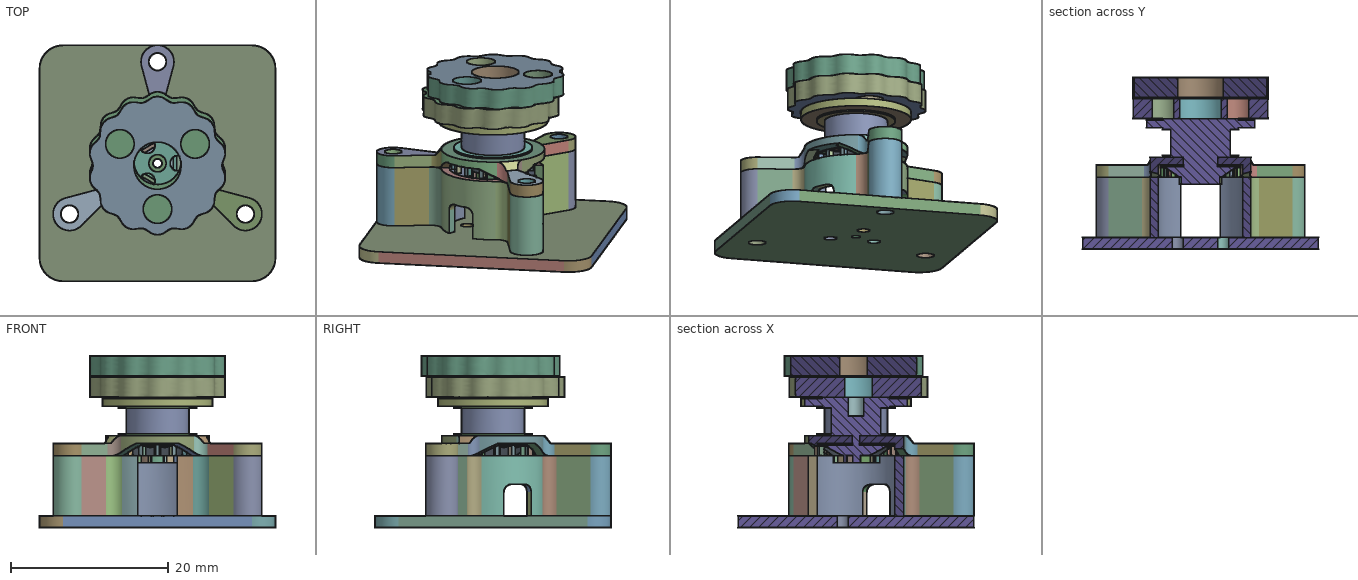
import cadquery as cq
import math

BASE_SIDE = 30.0
BASE_THICKNESS = 1.5
BASE_CORNER_RADIUS = 3.0
WIRE_HOLE_DIAMETER = 1.6
WIRE_HOLE_RADIUS = 3.33

LEG_ANGLES = (90, 210, 330)
WINDOW_ANGLES = (30, 150)
SLOT_ANGLE = 270
LEG_RADIUS = 12.9
LEG_END_RADIUS = BASE_SIDE / 2 - LEG_RADIUS
LEG_TAPER = math.radians(15)
LEG_HOLE_DIAMETER = 2.2
MOUNT_ROOT_FILLET = 1.5
CAP_ROOT_FILLET = 1.2

WALL_DIAMETER = 13.1
MOUNT_BORE = 11.0
MOUNT_TOP = 9.15
SLOT_WIDTH = 5.0
ARCH_WIDTH = 4.0
ARCH_TOP = 5.5
ARCH_CORNER = 1.0

CAP_ARM_THICKNESS = 1.55
CAP_ROOF_THICKNESS = 1.0
CAP_CAVITY = MOUNT_BORE
CONE_FOOT_RADIUS = 7.35
RIB_HALF_WIDTH_LOW = 0.9
RIB_HALF_WIDTH_HIGH = 3.85
RIB_CUT_RADIUS = 7.8

POST_DIAMETER = 5.0
POST_BOTTOM = 8.22
SPLINE_COUNT = 9
SPLINE_DIAMETER = 6.0
SPLINE_WIDTH = 0.33
ROTOR_DIAMETER = 10.5
ROTOR_TOP = 10.5
ROTOR_RIM = 0.15
CAGE_BORE = 9.3
NOTCH_COUNT = 15
NOTCH_DIAMETER = 1.68
SHOULDER_DIAMETER = 10.0
SHOULDER_HEIGHT = 0.2
TUBE_DIAMETER = 8.0
FLANGE_DIAMETER = 14.0
FLANGE_BOTTOM = 15.4
FLANGE_THICKNESS = 1.0
SHAFT_BORE = 1.1
SHAFT_COUNTERBORE = 2.2
SHAFT_COUNTERBORE_DEPTH = 1.0
VENT_DIAMETER = 1.9
VENT_RADIUS = 2.55
VENT_DEPTH = 2.4
VENT_ANGLES = (0, 120, 240)
VENT_SLOT_WIDTH = 0.48
VENT_SLOT_RADIUS = 2.22
VENT_SLOT_DEPTH = 0.3

DISC_THICKNESS = 2.55
DISC_GAP = 0.12
LOBE_COUNT = 14
ECCENTRICITY = 0.3
PIN_CIRCLE_RADIUS = 9.3
PIN_RADIUS = 0.8
POINTS_PER_LOBE = 12
DISC_BORE = 6.0
DISC_HOLE_DIAMETER = 3.63
DISC_HOLE_RADIUS = 5.52
DISC_HOLE_ANGLES = (30, 150, 270)

WALL_RADIUS = WALL_DIAMETER / 2
CAP_ARM_TOP = MOUNT_TOP + CAP_ARM_THICKNESS
CAP_TOP = CAP_ARM_TOP + CAP_ROOF_THICKNESS
FLANGE_TOP = FLANGE_BOTTOM + FLANGE_THICKNESS
SPINDLE_TOP = FLANGE_TOP + SHOULDER_HEIGHT


def cylinder(diameter, bottom, top):
    return cq.Workplane("XY").workplane(offset=bottom).circle(diameter / 2).extrude(top - bottom)


def polar_points(radius, angles):
    return [
        (radius * math.cos(math.radians(a)), radius * math.sin(math.radians(a)))
        for a in angles
    ]


def drill(body, diameter, points, bottom, top):
    tools = cq.Workplane("XY").workplane(offset=bottom).pushPoints(points).circle(diameter / 2)
    return body.cut(tools.extrude(top - bottom))


def turned(body, angle):
    return body.rotate((0, 0, 0), (0, 0, 1), angle)


def leg(bottom, top, fillet):
    """A tapered leg along +X, flared by fillets into the round wall."""
    normal = (-math.sin(LEG_TAPER), math.cos(LEG_TAPER))
    side_offset = LEG_END_RADIUS + LEG_RADIUS * normal[0]
    reach = WALL_RADIUS + fillet
    across = side_offset + fillet
    along = math.sqrt(reach**2 - across**2)
    centre = (
        across * normal[0] + along * math.cos(LEG_TAPER),
        across * normal[1] + along * math.sin(LEG_TAPER),
    )
    centre_angle = math.atan2(centre[1], centre[0])
    on_wall = (WALL_RADIUS * math.cos(centre_angle), WALL_RADIUS * math.sin(centre_angle))
    on_side = (centre[0] - fillet * normal[0], centre[1] - fillet * normal[1])
    side_angle = LEG_TAPER - math.pi / 2
    wall_angle = centre_angle - math.pi
    middle_angle = (side_angle + wall_angle) / 2
    on_fillet = (
        centre[0] + fillet * math.cos(middle_angle),
        centre[1] + fillet * math.sin(middle_angle),
    )
    on_end = (LEG_RADIUS + LEG_END_RADIUS * normal[0], LEG_END_RADIUS * normal[1])

    def mirrored(point):
        return (point[0], -point[1])

    outline = (
        cq.Workplane("XY")
        .workplane(offset=bottom)
        .moveTo(*on_wall)
        .threePointArc(on_fillet, on_side)
        .lineTo(*on_end)
        .threePointArc((LEG_RADIUS + LEG_END_RADIUS, 0), mirrored(on_end))
        .lineTo(*mirrored(on_side))
        .threePointArc(mirrored(on_fillet), mirrored(on_wall))
        .lineTo(0, 0)
        .close()
    )
    return outline.extrude(top - bottom)


def wall_with_legs(bottom, top, fillet):
    body = cylinder(WALL_DIAMETER, bottom, top)
    for angle in LEG_ANGLES:
        body = body.union(turned(leg(bottom, top, fillet), angle))
    return body


LEG_POINTS = polar_points(LEG_RADIUS, LEG_ANGLES)


def make_base():
    base = cq.Workplane("XY").rect(BASE_SIDE, BASE_SIDE).extrude(BASE_THICKNESS)
    base = base.edges("|Z").fillet(BASE_CORNER_RADIUS)
    base = drill(base, LEG_HOLE_DIAMETER, LEG_POINTS, 0, BASE_THICKNESS)
    base = drill(base, WIRE_HOLE_DIAMETER, polar_points(WIRE_HOLE_RADIUS, LEG_ANGLES), 0, BASE_THICKNESS)
    return drill(base, SHAFT_BORE, [(0, 0)], 0, BASE_THICKNESS)


def arch_cutter():
    """A round-cornered doorway through the wall on the +X side."""
    height = ARCH_TOP - BASE_THICKNESS
    door = cq.Workplane("XY").box(WALL_DIAMETER, ARCH_WIDTH, height, centered=(False, True, False))
    door = door.edges("|X and >Z").fillet(ARCH_CORNER)
    return door.translate((0, 0, BASE_THICKNESS))


def make_mount():
    """Round wall with three legs, open on -Y and pierced by two doorways."""
    height = MOUNT_TOP - BASE_THICKNESS
    mount = wall_with_legs(BASE_THICKNESS, MOUNT_TOP, MOUNT_ROOT_FILLET)
    mount = mount.cut(cylinder(MOUNT_BORE, BASE_THICKNESS, MOUNT_TOP))
    mount = drill(mount, LEG_HOLE_DIAMETER, LEG_POINTS, BASE_THICKNESS, MOUNT_TOP)
    slot = cq.Workplane("XY").box(WALL_DIAMETER, SLOT_WIDTH, height, centered=(False, True, False))
    mount = mount.cut(turned(slot.translate((0, 0, BASE_THICKNESS)), SLOT_ANGLE))
    for angle in WINDOW_ANGLES:
        mount = mount.cut(turned(arch_cutter(), angle))
    return mount


def arm_rib():
    """The space kept for the rib under one arm: a trapezoid, wider at the roof, swept along +X."""
    return (
        cq.Workplane("YZ")
        .polyline([
            (-RIB_HALF_WIDTH_LOW, MOUNT_TOP),
            (RIB_HALF_WIDTH_LOW, MOUNT_TOP),
            (RIB_HALF_WIDTH_HIGH, CAP_ARM_TOP),
            (-RIB_HALF_WIDTH_HIGH, CAP_ARM_TOP),
        ])
        .close()
        .extrude(RIB_CUT_RADIUS)
    )


def make_cap():
    """Round roof with three arms; windows between the arms leave a rib under each arm."""
    cap = wall_with_legs(MOUNT_TOP, CAP_TOP, CAP_ROOT_FILLET)
    arm_level = cylinder(2 * BASE_SIDE, MOUNT_TOP, CAP_ARM_TOP)
    cone = (
        cq.Workplane("XY")
        .workplane(offset=CAP_ARM_TOP)
        .circle(CONE_FOOT_RADIUS)
        .workplane(offset=CAP_TOP - CAP_ARM_TOP)
        .circle(WALL_RADIUS)
        .loft()
    )
    cap = cap.intersect(arm_level.union(cone))
    windows = cylinder(RIB_CUT_RADIUS * 2, MOUNT_TOP, CAP_ARM_TOP)
    for angle in LEG_ANGLES:
        windows = windows.cut(turned(arm_rib(), angle))
    cap = cap.cut(windows)
    cap = cap.cut(cylinder(CAP_CAVITY, MOUNT_TOP, CAP_ARM_TOP))
    cap = drill(cap, LEG_HOLE_DIAMETER, LEG_POINTS, MOUNT_TOP, CAP_ARM_TOP)
    return drill(cap, POST_DIAMETER, [(0, 0)], MOUNT_TOP, CAP_TOP)


def make_rotor():
    """Notched disc whose rim carries cage bars around a conical hub."""
    rotor = cylinder(ROTOR_DIAMETER, MOUNT_TOP, ROTOR_TOP)
    rim_bottom = ROTOR_TOP - ROTOR_RIM
    hub = (
        cq.Workplane("XY")
        .workplane(offset=MOUNT_TOP)
        .circle(SPLINE_DIAMETER / 2)
        .workplane(offset=rim_bottom - MOUNT_TOP)
        .circle(CAGE_BORE / 2)
        .loft()
    )
    rotor = rotor.cut(cylinder(CAGE_BORE, MOUNT_TOP, rim_bottom).cut(hub))
    notch_angles = [SLOT_ANGLE + (i + 0.5) * 360 / NOTCH_COUNT for i in range(NOTCH_COUNT)]
    notch_points = polar_points(ROTOR_DIAMETER / 2, notch_angles)
    return drill(rotor, NOTCH_DIAMETER, notch_points, MOUNT_TOP, rim_bottom)


def make_spindle():
    """Splined post, caged rotor, tube and flange in one piece."""
    post = cylinder(POST_DIAMETER, POST_BOTTOM, CAP_TOP)
    spline_height = MOUNT_TOP - POST_BOTTOM
    for i in range(SPLINE_COUNT):
        spline = cq.Workplane("XY").box(
            SPLINE_DIAMETER / 2, SPLINE_WIDTH, spline_height, centered=(False, True, False)
        )
        spline = spline.translate((0, 0, POST_BOTTOM))
        post = post.union(turned(spline, SLOT_ANGLE + (i + 0.5) * 360 / SPLINE_COUNT))
    spindle = (
        post.union(make_rotor())
        .union(cylinder(SHOULDER_DIAMETER, CAP_TOP, CAP_TOP + SHOULDER_HEIGHT))
        .union(cylinder(TUBE_DIAMETER, CAP_TOP, FLANGE_BOTTOM))
        .union(cylinder(SHOULDER_DIAMETER, FLANGE_BOTTOM - SHOULDER_HEIGHT, SPINDLE_TOP))
        .union(cylinder(FLANGE_DIAMETER, FLANGE_BOTTOM, FLANGE_TOP))
    )
    spindle = drill(spindle, SHAFT_BORE, [(0, 0)], POST_BOTTOM, SPINDLE_TOP)
    spindle = drill(
        spindle, SHAFT_COUNTERBORE, [(0, 0)], SPINDLE_TOP - SHAFT_COUNTERBORE_DEPTH, SPINDLE_TOP
    )
    vent_floor = SPINDLE_TOP - VENT_DEPTH
    spindle = drill(
        spindle, VENT_DIAMETER, polar_points(VENT_RADIUS, VENT_ANGLES), vent_floor, SPINDLE_TOP
    )
    for angle in VENT_ANGLES:
        slot = cq.Workplane("XY").box(VENT_SLOT_WIDTH, VENT_DIAMETER, VENT_SLOT_DEPTH)
        slot = slot.translate((VENT_SLOT_RADIUS, 0, vent_floor - VENT_SLOT_DEPTH / 2))
        spindle = spindle.cut(turned(slot, angle))
    return spindle


def lobed_edge(t):
    """Point on the cycloidal edge for t from 0 to 1; a valley lies on +X."""
    pins = LOBE_COUNT + 1
    angle = 2 * math.pi * t
    swing = math.atan2(
        math.sin(LOBE_COUNT * angle),
        PIN_CIRCLE_RADIUS / (ECCENTRICITY * pins) - math.cos(LOBE_COUNT * angle),
    )
    x = (
        PIN_CIRCLE_RADIUS * math.cos(angle)
        - PIN_RADIUS * math.cos(angle - swing)
        - ECCENTRICITY * math.cos(pins * angle)
    )
    y = (
        PIN_CIRCLE_RADIUS * math.sin(angle)
        - PIN_RADIUS * math.sin(angle - swing)
        - ECCENTRICITY * math.sin(pins * angle)
    )
    return (x, y)


def make_disc(bottom, turn):
    """One disc, pushed off the axis towards -Y and then turned about the axis."""
    point_count = LOBE_COUNT * POINTS_PER_LOBE
    edge_points = [lobed_edge(i / point_count) for i in range(point_count)]
    disc = cq.Workplane("XY").spline(edge_points, periodic=True).close().extrude(DISC_THICKNESS)
    disc = drill(disc, DISC_BORE, [(0, 0)], 0, DISC_THICKNESS)
    hole_points = polar_points(DISC_HOLE_RADIUS, DISC_HOLE_ANGLES)
    disc = drill(disc, DISC_HOLE_DIAMETER, hole_points, 0, DISC_THICKNESS)
    return turned(disc.translate((0, -ECCENTRICITY, bottom)), turn)


DISC_TURNS = (180, 0)

base = make_base()
mount = make_mount()
cap = make_cap()
spindle = make_spindle()
discs = []
for level, turn in enumerate(DISC_TURNS):
    disc_bottom = SPINDLE_TOP + level * (DISC_THICKNESS + DISC_GAP)
    discs.append(make_disc(disc_bottom, turn))

result = cq.Compound.makeCompound(
    [base.val(), mount.val(), cap.val(), spindle.val(), *[disc.val() for disc in discs]]
)